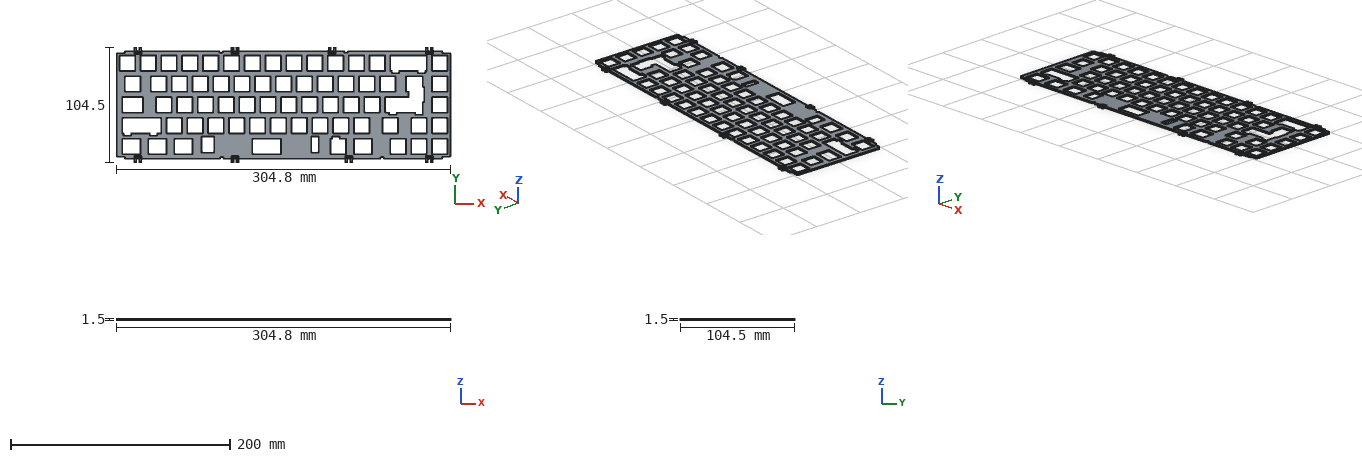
import math

import cadquery as cq

KEY_PITCH = 19.0
FIELD_OFFSET_Y = 0.1
COLUMN_UNITS = 16
ROW_COUNT = 5
SWITCH_SIZE = 14.0
OPENING_CORNER_RADIUS = 0.5
THICKNESS = 1.5
MARGIN = 1.0

PLATE_LENGTH = 304.76
END_DEPTH = 94.75
MIDDLE_DEPTH = 98.25
END_STRIP = 7.6
CORNER_RADIUS = 1.5
STEP_RADIUS = 0.85

OVERALL_DEPTH = 104.45
PRONG_WIDTH = 2.0
PRONG_PITCH = 4.6
PRONG_EMBED = 0.5
PRONG_ROOT_RADIUS = 0.5
RELIEF_INSET = 1.65
RELIEF_HOLE_RADIUS = 0.9
RELIEF_SLOT_WIDTH = 1.0
OUTER_TAB_X = 7 * KEY_PITCH
INNER_TAB_X = 44.3
FRONT_RIGHT_TAB_X = 59.5
REAR_TAB_X = (-OUTER_TAB_X, -INNER_TAB_X, INNER_TAB_X, OUTER_TAB_X)
FRONT_TAB_X = (-OUTER_TAB_X, -INNER_TAB_X, FRONT_RIGHT_TAB_X, OUTER_TAB_X)

NOTCH_RADIUS = 2.0
NOTCH_DEPTH = 1.5
NOTCH_LIP_RADIUS = 0.5
REAR_NOTCH_X = (-3 * KEY_PITCH, 3 * KEY_PITCH)
FRONT_LEFT_NOTCH_X = -56.4
FRONT_RIGHT_NOTCH_X = 90.0
FRONT_NOTCH_X = (FRONT_LEFT_NOTCH_X, FRONT_RIGHT_NOTCH_X)

STABILISER_WIDTH = 6.75
STABILISER_REACH = 9.0
STABILISER_SHORT_SIDE = 5.5
STABILISER_OFFSET = 11.9
SPACE_6U_OFFSET = 50.0
SPACE_7U_OFFSET = 57.15

SINGLE_KEYS = (
    [unit + 0.5 for unit in range(13)] + [15.5],
    [0.75] + [unit + 2.0 for unit in range(12)] + [15.5],
    [unit + 2.25 for unit in range(11)] + [15.5],
    [unit + 2.75 for unit in range(10)] + [13.125, 14.5, 15.5],
    [10.625, 13.5, 14.5, 15.5],
)
ENTER_CENTRE = 13.875
SHARED_KEYS = (
    (0, 13.5, 14.5),
    (2, 0.625, 0.875),
    (2, 13.25, ENTER_CENTRE),
    (3, 0.625, 1.75),
    (4, 0.625, 0.75),
    (4, 1.875, 2.0),
    (4, 3.125, 3.25),
    (4, 6.875, 7.5),
    (4, 11.75, 11.875),
)
STABILISED_KEYS = ((0, 14.0), (2, ENTER_CENTRE), (3, 1.125))
SPACE_ROW = 4
SPACE_6U_CENTRE = 6.875
SPACE_7U_CENTRE = 7.5
ISO_ENTER_CENTRE = 14.375
BACKSLASH_CENTRE = 14.25


def column_x(units):
    return (units - COLUMN_UNITS / 2) * KEY_PITCH


def row_y(row):
    return FIELD_OFFSET_Y + ((ROW_COUNT - 1) / 2 - row) * KEY_PITCH


def block(x_min, x_max, y_min, y_max):
    """Box of the plate's thickness between the given limits."""
    solid = cq.Workplane("XY").box(x_max - x_min, y_max - y_min, THICKNESS, centered=False)
    return solid.translate((x_min, y_min, 0))


def switch_opening(row, first, last):
    half = SWITCH_SIZE / 2
    y = row_y(row)
    return block(column_x(first) - half, column_x(last) + half, y - half, y + half)


def blank_plate():
    ends = cq.Workplane("XY").rect(PLATE_LENGTH, END_DEPTH).extrude(THICKNESS)
    ends = ends.edges("|Z").fillet(CORNER_RADIUS)
    middle_length = PLATE_LENGTH - 2 * END_STRIP
    middle = cq.Workplane("XY").rect(middle_length, MIDDLE_DEPTH).extrude(THICKNESS)
    step_x = middle_length / 2
    corners = cq.selectors.BoxSelector(
        (-step_x - MARGIN, -MIDDLE_DEPTH, -MARGIN),
        (step_x + MARGIN, MIDDLE_DEPTH, THICKNESS + MARGIN),
    )
    return ends.union(middle).edges("|Z").edges(corners).fillet(STEP_RADIUS)


def edge_profile_fillet(plate, x, half_width, side, radius):
    """Round the two vertical edges where a feature meets a long edge of the plate."""
    for edge_x in (x - half_width, x + half_width):
        point = (edge_x, side * MIDDLE_DEPTH / 2, THICKNESS / 2)
        plate = plate.edges(cq.selectors.NearestToPointSelector(point)).fillet(radius)
    return plate


def add_tab(plate, x, side):
    """Two prongs standing off the long edge, and the dog-bone relief cut behind them."""
    edge_y = side * MIDDLE_DEPTH / 2
    prong_length = (OVERALL_DEPTH - MIDDLE_DEPTH) / 2
    relief_y = edge_y - side * RELIEF_INSET
    slot_y = relief_y - side * RELIEF_SLOT_WIDTH / 2
    prong_centres = (x - PRONG_PITCH / 2, x + PRONG_PITCH / 2)
    for prong_x in prong_centres:
        y_limits = sorted((edge_y - side * PRONG_EMBED, edge_y + side * prong_length))
        plate = plate.union(block(prong_x - PRONG_WIDTH / 2, prong_x + PRONG_WIDTH / 2, *y_limits))
        plate = edge_profile_fillet(plate, prong_x, PRONG_WIDTH / 2, side, PRONG_ROOT_RADIUS)
    holes = [(prong_x, relief_y) for prong_x in prong_centres]
    relief = cq.Workplane("XY").pushPoints(holes).circle(RELIEF_HOLE_RADIUS).extrude(THICKNESS)
    slot = cq.Workplane("XY").center(x, slot_y).rect(PRONG_PITCH, RELIEF_SLOT_WIDTH).extrude(THICKNESS)
    return plate.cut(relief.union(slot))


def cut_notch(plate, x, side):
    edge_y = side * MIDDLE_DEPTH / 2
    centre_gap = NOTCH_RADIUS - NOTCH_DEPTH
    centre_y = edge_y + side * centre_gap
    half_mouth = math.sqrt(NOTCH_RADIUS**2 - centre_gap**2)
    plate = plate.cut(cq.Workplane("XY").center(x, centre_y).circle(NOTCH_RADIUS).extrude(THICKNESS))
    return edge_profile_fillet(plate, x, half_mouth, side, NOTCH_LIP_RADIUS)


def key_stabilisers(row, centre):
    """Housings at both sides of a key, open towards the front of the plate."""
    y = row_y(row)
    half = STABILISER_WIDTH / 2
    housings = []
    for offset in (-STABILISER_OFFSET, STABILISER_OFFSET):
        x = column_x(centre) + offset
        housings.append(block(x - half, x + half, y - STABILISER_REACH, y + STABILISER_SHORT_SIDE))
    return housings


def space_stabilisers():
    """Housings of both space bar sizes, reaching rearwards; the left pair shares one opening."""
    y = row_y(SPACE_ROW)
    half = STABILISER_WIDTH / 2
    y_limits = (y - STABILISER_SHORT_SIDE, y + STABILISER_REACH)
    x_6u = column_x(SPACE_6U_CENTRE)
    x_7u = column_x(SPACE_7U_CENTRE)
    left = block(x_6u - SPACE_6U_OFFSET - half, x_7u - SPACE_7U_OFFSET + half, *y_limits)
    right_6u = block(x_6u + SPACE_6U_OFFSET - half, x_6u + SPACE_6U_OFFSET + half, *y_limits)
    right_7u = block(x_7u + SPACE_7U_OFFSET - half, x_7u + SPACE_7U_OFFSET + half, *y_limits)
    return [left, right_6u, right_7u]


def enter_openings():
    """Tall enter key spanning the second and third rows, with the backslash key at its top."""
    half = SWITCH_SIZE / 2
    x = column_x(ISO_ENTER_CENTRE)
    y = (row_y(1) + row_y(2)) / 2
    side_x = column_x(ENTER_CENTRE) + STABILISER_OFFSET + STABILISER_WIDTH / 2
    column = block(x - half, side_x, row_y(2) - half, row_y(1) + half)
    switch = block(x - half, x + half, y - half, y + half)
    backslash = block(column_x(BACKSLASH_CENTRE) - half, side_x, row_y(1) - half, row_y(1) + half)
    return [column, switch, backslash]


def all_openings():
    openings = [
        switch_opening(row, centre, centre)
        for row, centres in enumerate(SINGLE_KEYS)
        for centre in centres
    ]
    openings += [switch_opening(*shared) for shared in SHARED_KEYS]
    for row, centre in STABILISED_KEYS:
        openings += key_stabilisers(row, centre)
    return openings + space_stabilisers() + enter_openings()


def cut_openings(plate):
    """Merge overlapping openings, round their corners and cut them from the plate."""
    first, *others = [opening.val() for opening in all_openings()]
    merged = first.fuse(*others).clean()
    rounded = [
        solid.fillet(OPENING_CORNER_RADIUS, cq.Workplane(solid).edges("|Z").vals())
        for solid in merged.Solids()
    ]
    return plate.cut(cq.Workplane(cq.Compound.makeCompound(rounded)))


result = blank_plate()
for side, tab_positions, notch_positions in (
    (1, REAR_TAB_X, REAR_NOTCH_X),
    (-1, FRONT_TAB_X, FRONT_NOTCH_X),
):
    for tab_x in tab_positions:
        result = add_tab(result, tab_x, side)
    for notch_x in notch_positions:
        result = cut_notch(result, notch_x, side)
result = cut_openings(result)